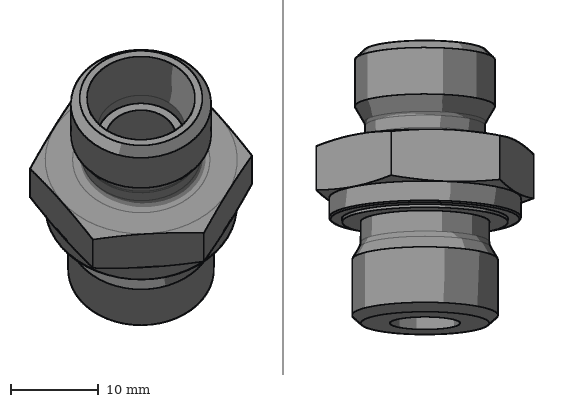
import cadquery as cq
import math

TOTAL_HEIGHT = 31.5
HEX_BOTTOM = 14.5
HEX_TOP = 20.5
COLLAR_BOTTOM = 12.05
LOWER_THREAD_TOP = 7.35
UPPER_THREAD_BOTTOM = 25.1

HEX_WIDTH = 22.0
COLLAR_DIAMETER = 21.9
LOWER_THREAD_DIAMETER = 16.65
LOWER_NECK_DIAMETER = 14.7
UPPER_THREAD_DIAMETER = 16.0
UPPER_NECK_DIAMETER = 13.7

LOWER_END_CHAMFER_WIDTH = 1.0
LOWER_END_CHAMFER_HEIGHT = 0.9
UPPER_END_CHAMFER = 1.0
COLLAR_CHAMFER = 0.2
UNDERCUT_ANGLE = 30.0
LOWER_UNDERCUT_RADIUS = 1.25
UPPER_UNDERCUT_RADIUS = 0.82
HEX_NECK_FILLET = 0.98
HEX_CHAMFER_ANGLE = 15.0

BORE_DIAMETER = 8.0
SOCKET_DIAMETER = 10.0
SOCKET_MOUTH_DIAMETER = 12.32
SOCKET_CONE_HALF_ANGLE = 12.0
SOCKET_DEPTH = 7.0

SEAL_DIAMETER = 18.9
SEAL_GROOVE_DIAMETER = 19.0
SEAL_THICKNESS = 1.5
SEAL_PROTRUSION = 0.35


def cylinder(diameter, bottom, top):
    return cq.Workplane("XY").workplane(offset=bottom).circle(diameter / 2).extrude(top - bottom)


def ring(outer_diameter, inner_diameter, bottom, top):
    return cylinder(outer_diameter, bottom, top).cut(cylinder(inner_diameter, bottom, top))


def revolve_profile(points):
    """Revolve a closed outline of (radius, height) points about Z."""
    return cq.Workplane("XZ").polyline(points).close().revolve(360, (0, 0, 0), (0, 1, 0))


def undercut_corner_fillet(body, diameter, height, radius):
    """Round the circular edge where an undercut cone meets its neck."""
    margin = 0.03
    reach = diameter / 2 + margin
    edge_box = cq.selectors.BoxSelector(
        (-reach, -reach, height - margin), (reach, reach, height + margin), boundingbox=True
    )
    return body.edges(edge_box).fillet(radius)


def make_lower_stud():
    thread_radius = LOWER_THREAD_DIAMETER / 2
    neck_radius = LOWER_NECK_DIAMETER / 2
    cone_height = (thread_radius - neck_radius) / math.tan(math.radians(UNDERCUT_ANGLE))
    cone_top = LOWER_THREAD_TOP + cone_height
    stud = revolve_profile([
        (0, 0),
        (thread_radius - LOWER_END_CHAMFER_WIDTH, 0),
        (thread_radius, LOWER_END_CHAMFER_HEIGHT),
        (thread_radius, LOWER_THREAD_TOP),
        (neck_radius, cone_top),
        (neck_radius, HEX_BOTTOM),
        (0, HEX_BOTTOM),
    ])
    return undercut_corner_fillet(stud, LOWER_NECK_DIAMETER, cone_top, LOWER_UNDERCUT_RADIUS)


def make_upper_stud():
    thread_radius = UPPER_THREAD_DIAMETER / 2
    neck_radius = UPPER_NECK_DIAMETER / 2
    cone_height = (thread_radius - neck_radius) / math.tan(math.radians(UNDERCUT_ANGLE))
    cone_bottom = UPPER_THREAD_BOTTOM - cone_height
    stud = revolve_profile([
        (0, HEX_TOP),
        (neck_radius, HEX_TOP),
        (neck_radius, cone_bottom),
        (thread_radius, UPPER_THREAD_BOTTOM),
        (thread_radius, TOTAL_HEIGHT - UPPER_END_CHAMFER),
        (thread_radius - UPPER_END_CHAMFER, TOTAL_HEIGHT),
        (0, TOTAL_HEIGHT),
    ])
    return undercut_corner_fillet(stud, UPPER_NECK_DIAMETER, cone_bottom, UPPER_UNDERCUT_RADIUS)


def make_hexagon():
    """Hexagon with corners on the Y axis, both ends turned to a shallow cone."""
    corner_radius = HEX_WIDTH / math.sqrt(3)
    face_radius = COLLAR_DIAMETER / 2
    drop = (corner_radius - face_radius) * math.tan(math.radians(HEX_CHAMFER_ANGLE))
    prism = (
        cq.Workplane("XY").workplane(offset=HEX_BOTTOM)
        .polygon(6, 2 * corner_radius).extrude(HEX_TOP - HEX_BOTTOM)
        .rotate((0, 0, 0), (0, 0, 1), 30)
    )
    turned_envelope = revolve_profile([
        (0, HEX_BOTTOM),
        (face_radius, HEX_BOTTOM),
        (corner_radius, HEX_BOTTOM + drop),
        (corner_radius, HEX_TOP - drop),
        (face_radius, HEX_TOP),
        (0, HEX_TOP),
    ])
    return prism.intersect(turned_envelope)


def make_neck_flare():
    """Concave fillet between the upper neck and the hexagon."""
    neck_radius = UPPER_NECK_DIAMETER / 2
    diagonal = HEX_NECK_FILLET * (1 - math.sqrt(0.5))
    return (
        cq.Workplane("XZ")
        .moveTo(0, HEX_TOP)
        .lineTo(neck_radius + HEX_NECK_FILLET, HEX_TOP)
        .threePointArc(
            (neck_radius + diagonal, HEX_TOP + diagonal),
            (neck_radius, HEX_TOP + HEX_NECK_FILLET),
        )
        .lineTo(0, HEX_TOP + HEX_NECK_FILLET)
        .close()
        .revolve(360, (0, 0, 0), (0, 1, 0))
    )


def make_bore():
    """Through bore opening at the top into a tube socket with a conical mouth."""
    socket_radius = SOCKET_DIAMETER / 2
    mouth_radius = SOCKET_MOUTH_DIAMETER / 2
    cone_depth = (mouth_radius - socket_radius) / math.tan(math.radians(SOCKET_CONE_HALF_ANGLE))
    return revolve_profile([
        (0, 0),
        (BORE_DIAMETER / 2, 0),
        (BORE_DIAMETER / 2, TOTAL_HEIGHT - SOCKET_DEPTH),
        (socket_radius, TOTAL_HEIGHT - SOCKET_DEPTH),
        (socket_radius, TOTAL_HEIGHT - cone_depth),
        (mouth_radius, TOTAL_HEIGHT),
        (0, TOTAL_HEIGHT),
    ])


seal_bottom = COLLAR_BOTTOM - SEAL_PROTRUSION
seal_top = seal_bottom + SEAL_THICKNESS


def make_fitting():
    collar = cylinder(COLLAR_DIAMETER, COLLAR_BOTTOM, HEX_BOTTOM).faces("<Z").chamfer(COLLAR_CHAMFER)
    seal_groove = ring(SEAL_GROOVE_DIAMETER, LOWER_NECK_DIAMETER, COLLAR_BOTTOM, seal_top)
    return (
        make_lower_stud()
        .union(collar.cut(seal_groove))
        .union(make_hexagon())
        .union(make_neck_flare())
        .union(make_upper_stud())
        .cut(make_bore())
    )


def make_sealing_ring():
    return ring(SEAL_DIAMETER, LOWER_NECK_DIAMETER, seal_bottom, seal_top)


fitting = make_fitting()
sealing_ring = make_sealing_ring()

result = cq.Compound.makeCompound([fitting.solids().val(), sealing_ring.solids().val()])